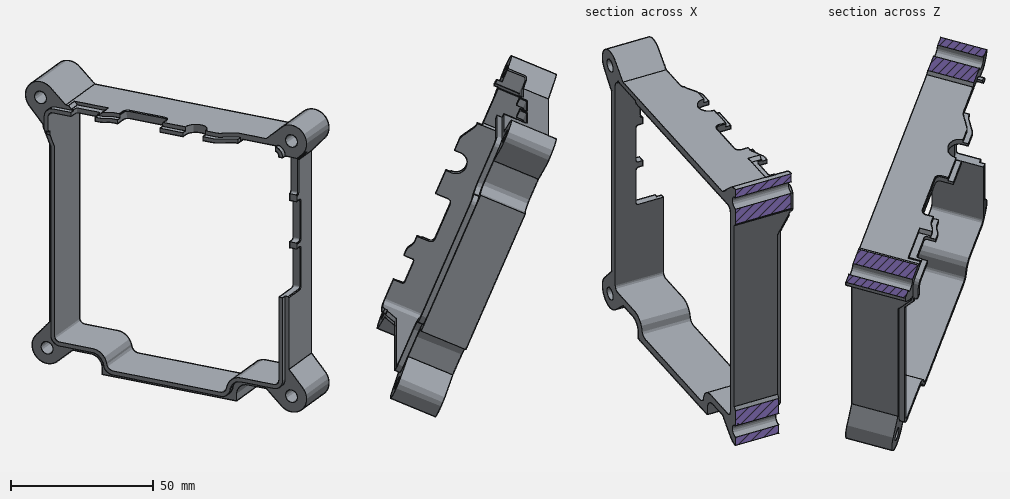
import cadquery as cq
import math


overall = 109.0
half = overall / 2
boss_radius = 6.0
boss_hole_diameter = 4.7
boss_place = half - boss_radius
web_reach = 38.5
wall_thickness = 3.0
wall_outer = 47.5
wall_inner = wall_outer - wall_thickness
lip_thickness = wall_thickness / 2
lip_height = 2.0
corner_radius = 2.0
edge_chamfer = 0.3
rim_margin = 0.01

high_depth = 22.1
mid_depth = 20.6
low_depth = 17.1
overall_depth = high_depth + lip_height
clearance = 1.1
beyond = overall_depth + clearance
cut_bottom = wall_inner - clearance

step_outer_half = 26.7
step_upper_radius = 4.4
step_lower_radius = 3.7
inner_step_upper_radius = 5.7
inner_step_lower_radius = 2.6
inner_step_lean = 1.7
inner_step_shift = 0.75

top_first_slope = (-23.1, -20.5)
top_second_slope = (21.3, 27.0)
top_slope_radius = 2.4

left_slope = (37.6, 29.3)
left_slope_radius = 1.0
nick_span = (35.2, 36.6)
nick_depth = 22.5

notch_span = (-35.3, -25.8)
notch_depth = 20.0
notch_radius = 0.9
recess_span = (-37.4, -24.0)
recess_inset = 1.2
recess_depth = 17.5

slot_span = (-17.7, -0.9)
slot_depth = 16.3
slot_radius = 1.6
arch_center = 12.2
arch_radius = 3.9
arch_depth = 16.5

thin_span = (28.6, 42.5)
thin_inner = 45.5
thin_lip_span = (28.2, 43.2)

opening_top = 42.3
first_tab = (25.5, 22.9)
second_tab = (7.2, 4.9)
opening_bottom = -10.9
first_notch_depth = 9.9
other_notch_depth = 8.3
tab_depth = 10.9
opening_radius = 0.9


def rounded_outline(plane, corners):
    """Closed outline through corners (a, b) or (a, b, radius); a radius rounds that corner."""
    count = len(corners)
    outline = None
    for i, corner in enumerate(corners):
        a, b = corner[:2]
        radius = corner[2] if len(corner) > 2 else 0
        if radius == 0:
            stops = [(a, b)]
        else:
            before, after = corners[i - 1], corners[(i + 1) % count]
            angle_in = math.atan2(before[1] - b, before[0] - a)
            angle_out = math.atan2(after[1] - b, after[0] - a)
            half_angle = math.acos(math.cos(angle_out - angle_in)) / 2
            middle = math.atan2(
                math.sin(angle_in) + math.sin(angle_out), math.cos(angle_in) + math.cos(angle_out)
            )
            tangent = radius / math.tan(half_angle)
            to_arc = radius / math.sin(half_angle) - radius
            stops = [
                (a + length * math.cos(angle), b + length * math.sin(angle))
                for length, angle in ((tangent, angle_in), (to_arc, middle), (tangent, angle_out))
            ]
        outline = plane.moveTo(*stops[0]) if outline is None else outline.lineTo(*stops[0])
        if radius:
            outline = outline.threePointArc(stops[1], stops[2])
    return outline.close()


def along_x(profile, start, end):
    """Extrude a (depth, z) profile from X = start to X = end."""
    corners = [(-depth, z, *radius) for depth, z, *radius in profile]
    return rounded_outline(cq.Workplane("YZ", origin=(start, 0, 0)), corners).extrude(end - start)


def along_z(profile, start, end):
    """Extrude an (x, depth) profile from Z = start to Z = end."""
    corners = [(x, -depth, *radius) for x, depth, *radius in profile]
    return rounded_outline(cq.Workplane("XY", origin=(0, 0, start)), corners).extrude(end - start)


def block(xs, depths, zs):
    """Box between pairs of X, depth and Z values."""
    (left, right), (back, front), (bottom, top) = xs, depths, zs
    return along_z([(left, back), (right, back), (right, front), (left, front)], bottom, top)


def frame_prism(offset, step_radii, lean=0):
    """Full-depth prism whose outline lies `offset` outside the inner face of the walls.

    `step_radii` round the upper and lower corners of the bottom step, whose flanks lean by `lean`.
    """
    side = wall_inner + offset
    upper_radius, lower_radius = step_radii
    step_top = step_outer_half - wall_thickness + offset + inner_step_shift * lean
    step_floor = step_top - lean
    floor = half - wall_thickness + offset

    rounding = corner_radius + offset
    corners = [
        (side, side, rounding),
        (-side, side, rounding),
        (-side, -side, rounding),
        (-step_top, -side, upper_radius),
        (-step_floor, -floor, lower_radius),
        (step_floor, -floor, lower_radius),
        (step_top, -side, upper_radius),
        (side, -side, rounding),
    ]
    return rounded_outline(cq.Workplane("XZ"), corners).extrude(overall_depth)


def corner_bosses():
    """Round bosses at the four corners, each joined to two walls by tangent webs."""
    reach = boss_place - web_reach
    drop = boss_place - wall_outer
    tangent_angle = math.atan2(drop, reach) + math.asin(boss_radius / math.hypot(reach, drop))
    across = boss_radius * math.sin(tangent_angle)
    along = boss_radius * math.cos(tangent_angle)
    web = [
        (web_reach, wall_outer),
        (boss_place - across, boss_place + along),
        (boss_place, boss_place),
        (boss_place + along, boss_place - across),
        (wall_outer, web_reach),
        (wall_inner + lip_thickness, web_reach),
        (web_reach, wall_inner + lip_thickness),
    ]
    centers = [(sx * boss_place, sz * boss_place) for sx in (1, -1) for sz in (1, -1)]
    bosses = cq.Workplane("XZ").pushPoints(centers).circle(boss_radius).extrude(overall_depth)
    for sx in (1, -1):
        for sz in (1, -1):
            points = [(sx * x, sz * z) for x, z in web]
            bosses = bosses.union(cq.Workplane("XZ").polyline(points).close().extrude(overall_depth))
    holes = cq.Workplane("XZ").pushPoints(centers).circle(boss_hole_diameter / 2).extrude(overall_depth)
    return bosses, holes


def front_limit(rise):
    """Space behind the stepped and sloped wall fronts, moved outward by `rise`."""
    low, mid, high = (depth + rise for depth in (low_depth, mid_depth, high_depth))
    strip = wall_inner - corner_radius
    base = block((-half, half), (0, low), (-half, half))
    top = along_z(
        [
            (-half, 0),
            (-half, high),
            (top_first_slope[0], high, top_slope_radius),
            (top_first_slope[1], mid, top_slope_radius),
            (top_second_slope[0], mid, top_slope_radius),
            (top_second_slope[1], low, top_slope_radius),
            (half, low),
            (half, 0),
        ],
        strip,
        half,
    )
    left = along_x(
        [
            (0, half),
            (high, half),
            (high, left_slope[0], left_slope_radius),
            (low, left_slope[1], left_slope_radius),
            (low, -half),
            (0, -half),
        ],
        -half,
        -strip,
    )
    return base.union(top).union(left)


def top_wall_slot(span, depth, radius, bottom=cut_bottom, top=half):
    """Cutter open to the front, ending at `depth` with two rounded corners."""
    left, right = span
    profile = [(left, beyond), (left, depth, radius), (right, depth, radius), (right, beyond)]
    return along_z(profile, bottom, top)


def notch_and_recess():
    """Cable notch through the top wall and the shallow recess in the outer face around it."""
    notch = top_wall_slot(notch_span, notch_depth, notch_radius)
    left, right = recess_span
    recess_points = [
        (left, wall_outer),
        (left + recess_inset, wall_outer - recess_inset),
        (right - recess_inset, wall_outer - recess_inset),
        (right, wall_outer),
    ]
    recess = (
        cq.Workplane("XZ", origin=(0, -recess_depth, 0))
        .polyline(recess_points).close().extrude(beyond - recess_depth)
    )
    return notch.union(recess)


def rounded_slot():
    """Slot through the top wall, with its rim on the outer face chamfered."""
    left, right = slot_span
    rim = top_wall_slot(
        (left - edge_chamfer, right + edge_chamfer),
        slot_depth - edge_chamfer,
        slot_radius + edge_chamfer,
        wall_outer - edge_chamfer,
        wall_outer,
    )
    rim = rim.faces("<Z").edges().chamfer(edge_chamfer - rim_margin)
    return top_wall_slot(slot_span, slot_depth, slot_radius).union(rim)


def arched_opening():
    """Half-round opening in the front edge of the top wall."""
    center_depth = arch_depth + arch_radius
    arch = (
        cq.Workplane("XY", origin=(arch_center, -center_depth, cut_bottom))
        .circle(arch_radius).extrude(half - cut_bottom)
    )
    mouth = block(
        (arch_center - arch_radius, arch_center + arch_radius),
        (center_depth, beyond),
        (cut_bottom, half),
    )
    return arch.union(mouth)


def thinned_stretch():
    """Relief of the inner face of the top wall, with slanted ends and no lip."""
    left, right = thin_span
    slant = thin_inner - wall_inner
    relief_points = [
        (left - slant, wall_inner - slant),
        (left + slant / 2, thin_inner),
        (right, thin_inner),
        (right + slant, wall_inner - slant),
    ]
    relief = cq.Workplane("XZ").polyline(relief_points).close().extrude(beyond)
    lip_gap = block(thin_lip_span, (low_depth, beyond), (cut_bottom, half))
    return relief.union(lip_gap)


def lip_nick():
    """Small cut in the lip at the start of the left slope."""
    return block((-wall_outer, -cut_bottom), (nick_depth, beyond), nick_span)


def right_opening():
    """Opening in the front of the right wall: three notches around two tabs."""
    r = opening_radius
    profile = [
        (beyond, opening_top),
        (first_notch_depth, opening_top, r),
        (first_notch_depth, first_tab[0], r),
        (tab_depth, first_tab[0]),
        (tab_depth, first_tab[1]),
        (other_notch_depth, first_tab[1], r),
        (other_notch_depth, second_tab[0], r),
        (tab_depth, second_tab[0]),
        (tab_depth, second_tab[1]),
        (other_notch_depth, second_tab[1], r),
        (other_notch_depth, opening_bottom, r),
        (beyond, opening_bottom),
    ]
    return along_x(profile, wall_inner - corner_radius, half)


bosses, boss_holes = corner_bosses()
cavity = frame_prism(0, (inner_step_upper_radius, inner_step_lower_radius), lean=inner_step_lean)
walls = frame_prism(wall_thickness, (step_upper_radius, 0)).union(bosses).cut(boss_holes)
lip = frame_prism(lip_thickness, (step_upper_radius, step_lower_radius))

body = walls.intersect(front_limit(0)).union(lip.intersect(front_limit(lip_height))).cut(cavity)
for opening in (
    notch_and_recess(),
    rounded_slot(),
    arched_opening(),
    thinned_stretch(),
    lip_nick(),
    right_opening(),
):
    body = body.cut(opening)

margin = 0.1
rim_box = cq.selectors.BoxSelector(
    (wall_outer - margin, -first_notch_depth - opening_radius, opening_bottom - margin),
    (half, margin - other_notch_depth, opening_top - margin),
)
result = body.edges(rim_box).edges("not |X").chamfer(edge_chamfer)